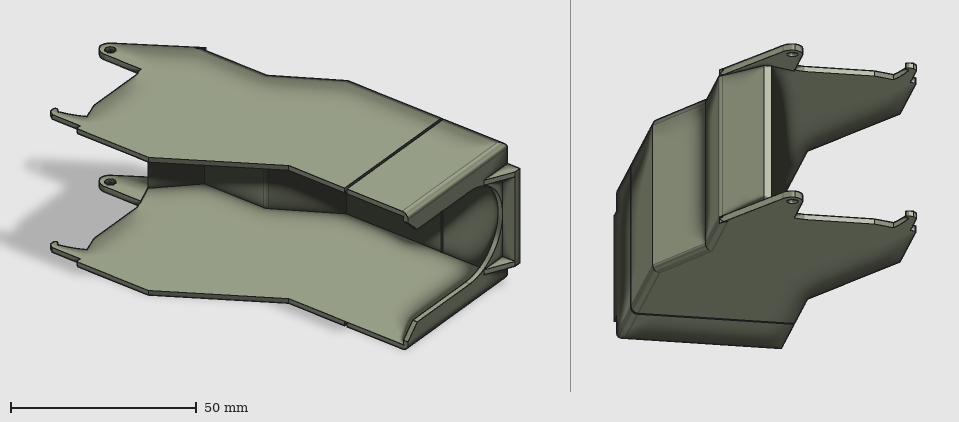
import cadquery as cq
import math

length = 120.6
depth = 64.0
height = 44.0
half_height = height / 2
sheet = 1.51
outer_bend = 1.9
clearance = 6.0

step_y = 53.2
wall_start = (23.4, step_y)
inner_knee = (44.1, step_y)
outer_knee = (63.2, depth)
end_x = 116.4
knee_bend = 2.9

narrow_y = 19.3
front_slope_start = (43.7, 0)
front_slope_end = (76.3, narrow_y)
neck_x = 16.4
neck_low_y = 12.0
neck_high_y = 31.4

hook_tip_x = 8.7
hook_front_y = 1.7
hook_bevel = (1.5, 1.2)
hook_root_x = 19.5
hook_inner_corner = (18.2, 6.5)
hook_back_mid = (14.7, 5.0)
hook_notch = (10.7, 3.9)
hook_notch_mid = (10.3, 4.1)
hook_nose_end = (9.9, 4.6)
hook_nose_top = (9.3, 4.8)
hook_nose_y = 4.2
corner_bevel = 0.4

pivot = (3.4, 36.9)
pivot_diameter = 3.0
ear_radius = pivot[0]
ear_front_mid = (1.0, 35.2)
ear_front = (15.7, 34.1)
ear_sheet = 1.8

slant_angle = math.radians(45)
slant_bend = 2.4
slant_end_x = 13.1
slant_end_y = step_y - (wall_start[0] - slant_end_x) * math.tan(slant_angle)
slant_inner_end_y = slant_end_y - sheet / math.cos(slant_angle)

groove_x = 95.2
groove_width = 0.7
groove_depth = 1.1

lip_height = 7.2
opening_half = half_height - lip_height
opening_top_y = 61.9
arch_centre_y = opening_top_y - opening_half
lip_bevel_y = 23.5

spout_half = 15.1
spout_root_y = 53.4
spout_side = 1.6

inner_step_y = step_y - sheet
inner_back_y = depth - sheet
inner_end_x = end_x - sheet
cavity_half = half_height - sheet
knee_angle = math.atan2(outer_knee[1] - inner_knee[1], outer_knee[0] - inner_knee[0])
knee_shift = sheet * math.tan(knee_angle / 2)
slant_shift = sheet * math.tan(slant_angle / 2)
inner_knee_corner = (inner_knee[0] + knee_shift, inner_step_y)


def prism(points, bottom, top):
    """Prism over a plan polygon between two heights."""
    return cq.Workplane("XY").workplane(offset=bottom).polyline(points).close().extrude(top - bottom)


def side_outline():
    """Full-height block over the plan outline, with ear and hook."""
    run = wall_start[0] - pivot[0]
    rise = wall_start[1] - pivot[1]
    tangent_angle = math.atan2(rise, run) + math.acos(ear_radius / math.hypot(run, rise))
    mid_angle = (tangent_angle + math.pi) / 2

    def ear_point(angle):
        return pivot[0] + ear_radius * math.cos(angle), pivot[1] + ear_radius * math.sin(angle)

    return (
        cq.Workplane("XY")
        .workplane(offset=-half_height)
        .moveTo(*wall_start)
        .lineTo(*inner_knee)
        .lineTo(*outer_knee)
        .lineTo(end_x, depth)
        .lineTo(end_x, narrow_y)
        .lineTo(*front_slope_end)
        .lineTo(*front_slope_start)
        .lineTo(hook_root_x + corner_bevel, 0)
        .lineTo(hook_root_x, corner_bevel)
        .lineTo(hook_root_x, hook_front_y)
        .lineTo(hook_tip_x + hook_bevel[0], hook_front_y)
        .lineTo(hook_tip_x, hook_front_y + hook_bevel[1])
        .lineTo(hook_tip_x, hook_nose_y)
        .threePointArc(hook_nose_top, hook_nose_end)
        .threePointArc(hook_notch_mid, hook_notch)
        .threePointArc(hook_back_mid, hook_inner_corner)
        .lineTo(neck_x, neck_low_y)
        .lineTo(neck_x, neck_high_y)
        .lineTo(*ear_front)
        .lineTo(pivot[0], ear_front[1])
        .threePointArc(ear_front_mid, (0, pivot[1]))
        .threePointArc(ear_point(mid_angle), ear_point(tangent_angle))
        .close()
        .extrude(height)
    )


def round_bends(block):
    """Round the long edges between the side plates and the back wall or end panel."""
    path = [wall_start, inner_knee, outer_knee, (end_x, depth), (end_x, narrow_y)]
    edges = []
    for start, end in zip(path, path[1:]):
        middle_x = (start[0] + end[0]) / 2
        middle_y = (start[1] + end[1]) / 2
        for z in (-half_height, half_height):
            nearest = cq.selectors.NearestToPointSelector((middle_x, middle_y, z))
            edges.extend(block.edges(nearest).vals())
    return block.newObject(edges).fillet(outer_bend)


def cavity():
    """Space between the side plates, leaving the back, slanted and end walls."""
    tangent = slant_bend * math.tan(slant_angle / 2)
    corner_start = (wall_start[0] + tangent, step_y)
    corner_mid = (
        corner_start[0] - slant_bend * math.sin(slant_angle / 2),
        step_y - slant_bend * (1 - math.cos(slant_angle / 2)),
    )
    corner_end = (
        wall_start[0] - tangent * math.cos(slant_angle),
        step_y - tangent * math.sin(slant_angle),
    )
    space = (
        cq.Workplane("XY")
        .workplane(offset=-cavity_half)
        .moveTo(slant_end_x, slant_inner_end_y)
        .lineTo(wall_start[0] + slant_shift, inner_step_y)
        .lineTo(*inner_knee_corner)
        .lineTo(outer_knee[0] + knee_shift, inner_back_y)
        .lineTo(inner_end_x, inner_back_y)
        .lineTo(inner_end_x, -clearance)
        .lineTo(-clearance, -clearance)
        .lineTo(-clearance, step_y)
        .lineTo(*corner_start)
        .threePointArc(corner_mid, corner_end)
        .lineTo(slant_end_x, slant_end_y)
        .close()
        .extrude(2 * cavity_half)
    )
    knee_edge = cq.selectors.NearestToPointSelector((*inner_knee_corner, 0))
    return space.edges(knee_edge).fillet(knee_bend)


def ear_pads(block):
    """Thicker stretches of both side plates at the ear, outside the slanted wall."""
    pad_outline = [
        (slant_end_x, slant_inner_end_y),
        (slant_end_x, slant_end_y),
        wall_start,
        (-clearance, step_y),
        (-clearance, ear_front[1]),
        ear_front,
    ]
    lower = prism(pad_outline, -half_height, ear_sheet - half_height)
    upper = prism(pad_outline, half_height - ear_sheet, half_height)
    return block.intersect(lower.union(upper))


def end_opening():
    """Arched opening through the end panel, open to the front between tapered lips."""
    taper = clearance
    return (
        cq.Workplane("YZ")
        .workplane(offset=inner_end_x)
        .moveTo(lip_bevel_y - taper, -opening_half - taper)
        .lineTo(lip_bevel_y, -opening_half)
        .lineTo(arch_centre_y, -opening_half)
        .threePointArc((opening_top_y, 0), (arch_centre_y, opening_half))
        .lineTo(lip_bevel_y, opening_half)
        .lineTo(lip_bevel_y - taper, opening_half + taper)
        .close()
        .extrude(clearance)
    )


def spout():
    """Channel beyond the end panel: a base behind the arch and two tapered sides."""
    profile = [
        (end_x, depth),
        (length, depth),
        (length, opening_top_y),
        (end_x, spout_root_y),
    ]
    inside = [
        (end_x, opening_top_y),
        (length, opening_top_y),
        (length, spout_root_y),
        (end_x, spout_root_y),
    ]
    inside_half = spout_half - spout_side
    return prism(profile, -spout_half, spout_half).cut(prism(inside, -inside_half, inside_half))


def groove():
    """Groove that is shallow in both side plates and runs right through the back wall."""
    centre_x = groove_x + groove_width / 2
    core_height = height - 2 * groove_depth
    ring = cq.Workplane("XY").box(groove_width, 2 * depth, height)
    ring = ring.cut(cq.Workplane("XY").box(groove_width, 2 * depth, core_height))
    slit = cq.Workplane("XY").box(groove_width, 2 * sheet, height).translate((0, depth, 0))
    return ring.union(slit).translate((centre_x, 0, 0))


block = side_outline()
pivot_hole = cq.Workplane("XY").center(*pivot).circle(pivot_diameter / 2).extrude(height, both=True)

result = (
    round_bends(block)
    .cut(cavity())
    .union(ear_pads(block))
    .cut(pivot_hole)
    .cut(end_opening())
    .union(spout())
    .cut(groove())
)